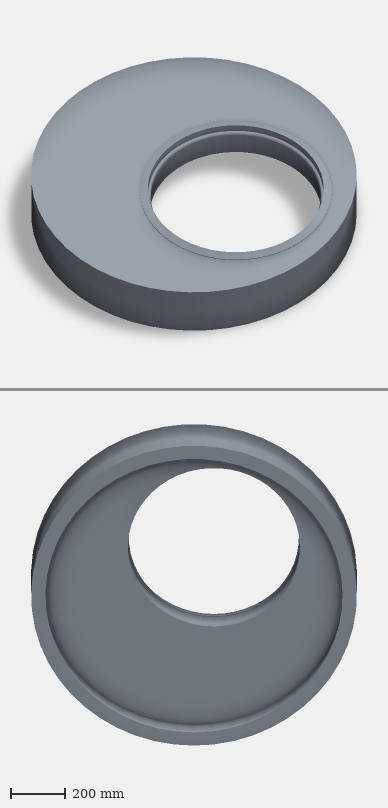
import cadquery as cq

slab_radius = 600.0
slab_height = 204.0

hollow_depth = 82.0
hollow_rim_radius = 547.0
hollow_rim_height = 15.0
hollow_rim_width = 5.0
hollow_radius = hollow_rim_radius + hollow_rim_width

opening_offset = 175.0
mouth_radius = 324.0
mouth_depth = 17.0
lip_radius = 313.0
lip_band_height = 7.0
bore_radius = 317.0

overall_height = 216.0
ring_outer_radius = 353.0
ring_edge_height = 2.0


def axis_sketch(axis_x):
    """Sketch on a vertical axis at axis_x; local X is radius, local Y is height."""
    return cq.Workplane("XZ", origin=(axis_x, 0, 0))


def revolve_profile(profile):
    """Close a (radius, height) profile and revolve it about its vertical axis."""
    return profile.close().revolve(360, (0, 0), (0, 1))


def make_hollow():
    """Space below the roof of the slab, stepping inward at its open end."""
    return revolve_profile(
        axis_sketch(0)
        .lineTo(hollow_rim_radius, 0)
        .lineTo(hollow_rim_radius, hollow_rim_height)
        .lineTo(hollow_radius, hollow_rim_height)
        .lineTo(hollow_radius, hollow_depth)
        .lineTo(0, hollow_depth)
    )


def make_opening():
    """Space of the opening, from the hollow up to the top of the slab."""
    mouth_floor = slab_height - mouth_depth
    lip_round = mouth_radius - lip_radius
    band_top = mouth_floor - lip_round
    band_bottom = band_top - lip_band_height
    return revolve_profile(
        axis_sketch(opening_offset)
        .moveTo(0, hollow_depth)
        .lineTo(bore_radius, hollow_depth)
        .lineTo(bore_radius, band_bottom)
        .lineTo(lip_radius, band_bottom)
        .lineTo(lip_radius, band_top)
        .radiusArc((mouth_radius, mouth_floor), lip_round)
        .lineTo(mouth_radius, slab_height)
        .lineTo(0, slab_height)
    )


def make_slab():
    disc = cq.Workplane("XY").circle(slab_radius).extrude(slab_height)
    return disc.cut(make_hollow()).cut(make_opening())


def make_ring():
    return revolve_profile(
        axis_sketch(opening_offset)
        .moveTo(mouth_radius, slab_height)
        .lineTo(ring_outer_radius, slab_height)
        .lineTo(ring_outer_radius, slab_height + ring_edge_height)
        .lineTo(mouth_radius, overall_height)
    )


slab = make_slab()
ring = make_ring()

result = cq.Compound.makeCompound([slab.val(), ring.val()])